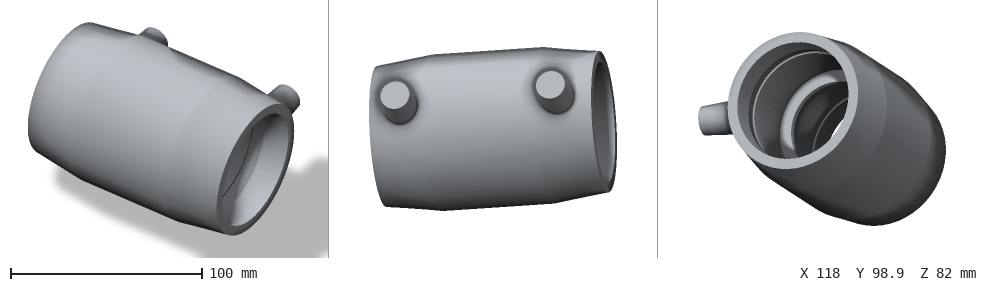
import cadquery as cq

length = 118.0
middle_length = 59.0
middle_diameter = 82.0
end_diameter = 74.0
socket_diameter = 63.0
stop_diameter = 50.4
stop_width = 3.5

groove_diameter = 65.1
groove_inset = 15.1
groove_width = 7.4

terminal_spacing = 82.6
terminal_tip_y = 57.9
terminal_tip_diameter = 15.3
terminal_root_y = 36.6
terminal_root_diameter = 18.6


def make_sleeve():
    """Barrel with conical ends, revolved about X."""
    half_length = length / 2
    half_middle = middle_length / 2
    profile = (
        cq.Workplane("XY")
        .moveTo(-half_length, 0)
        .lineTo(-half_length, end_diameter / 2)
        .lineTo(-half_middle, middle_diameter / 2)
        .lineTo(half_middle, middle_diameter / 2)
        .lineTo(half_length, end_diameter / 2)
        .lineTo(half_length, 0)
        .close()
    )
    return profile.revolve(360, (0, 0, 0), (1, 0, 0))


def make_disc(diameter, start_x, width):
    """Cylinder about the X axis, from start_x toward +X."""
    return cq.Workplane("YZ", origin=(start_x, 0, 0)).circle(diameter / 2).extrude(width)


def make_bore():
    """Through bore with a grooved socket at each end, leaving a stop ring in the middle."""
    bore = make_disc(stop_diameter, -length / 2, length)
    socket_depth = (length - stop_width) / 2
    groove_outer_x = length / 2 - groove_inset
    groove_inner_x = groove_outer_x - groove_width
    for socket_x, groove_x in ((-length / 2, -groove_outer_x), (stop_width / 2, groove_inner_x)):
        bore = bore.union(make_disc(socket_diameter, socket_x, socket_depth))
        bore = bore.union(make_disc(groove_diameter, groove_x, groove_width))
    return bore


def make_terminal(center_x):
    """Cone from inside the sleeve wall to the terminal tip."""
    height = terminal_tip_y - terminal_root_y
    cone = cq.Solid.makeCone(
        terminal_root_diameter / 2,
        terminal_tip_diameter / 2,
        height,
        pnt=cq.Vector(center_x, terminal_root_y, 0),
        dir=cq.Vector(0, 1, 0),
    )
    return cq.Workplane(obj=cone)


result = make_sleeve()
for side in (-1, 1):
    result = result.union(make_terminal(side * terminal_spacing / 2))
result = result.cut(make_bore())